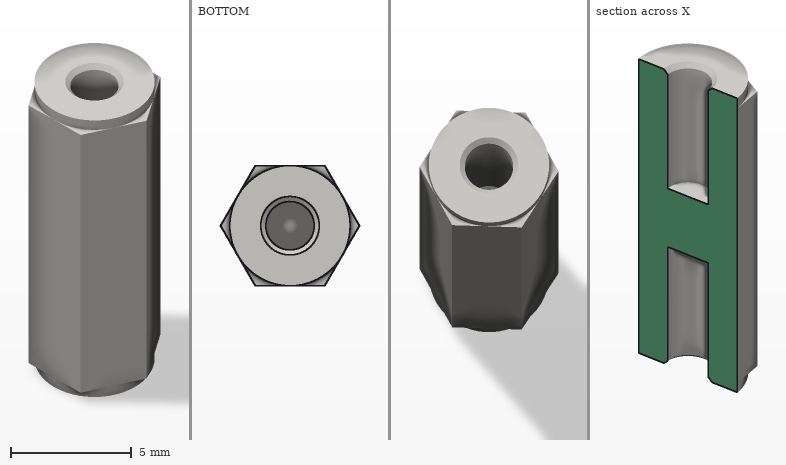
import cadquery as cq
import math

length = 15.0
across_flats = 5.0
across_corners = across_flats / math.cos(math.pi / 6)
collar_height = 0.51
bore_diameter = 2.01
bore_depth = 6.0
countersink_diameter = 2.43
countersink_depth = (countersink_diameter - bore_diameter) / 2


def make_body():
    """Hexagonal shank between two collars as wide as its flats."""
    collars = cq.Workplane("XY").circle(across_flats / 2).extrude(length)
    shank = (
        cq.Workplane("XY")
        .workplane(offset=collar_height)
        .polygon(6, across_corners)
        .extrude(length - 2 * collar_height)
    )
    return collars.union(shank)


def make_top_bore():
    """Countersunk, flat-bottomed bore at the top end, as a revolved cutter."""
    bore_radius = bore_diameter / 2
    return (
        cq.Workplane("XZ")
        .moveTo(0, length - bore_depth)
        .lineTo(bore_radius, length - bore_depth)
        .lineTo(bore_radius, length - countersink_depth)
        .lineTo(countersink_diameter / 2, length)
        .lineTo(0, length)
        .close()
        .revolve(360, (0, 0, 0), (0, 1, 0))
    )


top_bore = make_top_bore()
bottom_bore = top_bore.mirror("XY", (0, 0, length / 2))
result = make_body().cut(top_bore).cut(bottom_bore)